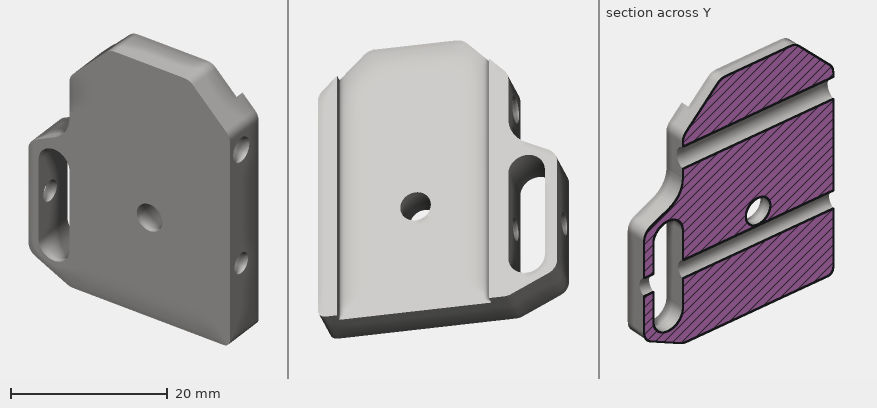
import cadquery as cq
import math

width = 31.4
thickness = 6.35
height = 38.1

body_left = 6.4
top_chamfer = 6.32
tab_bottom = 3.15
tab_top = 19.75
tab_slope = math.tan(math.radians(26))

outer_radius = 2.0
inner_radius = 4.0
foot_radius = 1.0

slot_left = 1.6
slot_length = 16.85
slot_width = body_left - slot_left
slot_x = (slot_left + body_left) / 2
slot_z = (tab_bottom + tab_top) / 2

face_hole_diameter = 4.0
face_hole_x = 18.9
face_hole_z = 15.0

cross_hole_y = 2.5
cross_holes = [(28.58, 3.6), (11.43, 3.0)]

channel_left = 8.95
channel_right = 28.88
channel_depth = 1.3


def make_plate():
    """Extruded outline with rounded corners; the front face lies at Y = 0."""
    corners = [
        (0, tab_bottom, outer_radius),
        (tab_bottom / tab_slope, 0, outer_radius),
        (width, 0, foot_radius),
        (width, height - top_chamfer, outer_radius),
        (width - top_chamfer, height, outer_radius),
        (body_left + top_chamfer, height, outer_radius),
        (body_left, height - top_chamfer, outer_radius),
        (body_left, tab_top + body_left * tab_slope, inner_radius),
        (0, tab_top, outer_radius),
    ]
    outline = [(x, z) for x, z, _ in corners]
    plate = cq.Workplane("XZ").polyline(outline).close().extrude(-thickness)
    for x, z, radius in corners:
        corner_edge = cq.selectors.NearestToPointSelector((x, thickness / 2, z))
        plate = plate.edges("|Y").edges(corner_edge).fillet(radius)
    return plate


def make_slot():
    """Upright full-round slot through the thickness."""
    return (
        cq.Workplane("XZ")
        .center(slot_x, slot_z)
        .slot2D(slot_length, slot_width, 90)
        .extrude(-thickness)
    )


def make_face_hole():
    return (
        cq.Workplane("XZ")
        .center(face_hole_x, face_hole_z)
        .circle(face_hole_diameter / 2)
        .extrude(-thickness)
    )


def make_cross_hole(hole_z, diameter):
    """Hole along X through the full width."""
    return cq.Workplane("YZ").center(cross_hole_y, hole_z).circle(diameter / 2).extrude(width)


def make_channel():
    return cq.Workplane("XY").box(
        channel_right - channel_left, channel_depth, height, centered=False
    ).translate((channel_left, thickness - channel_depth, 0))


result = make_plate().cut(make_slot()).cut(make_face_hole()).cut(make_channel())
for hole_z, diameter in cross_holes:
    result = result.cut(make_cross_hole(hole_z, diameter))